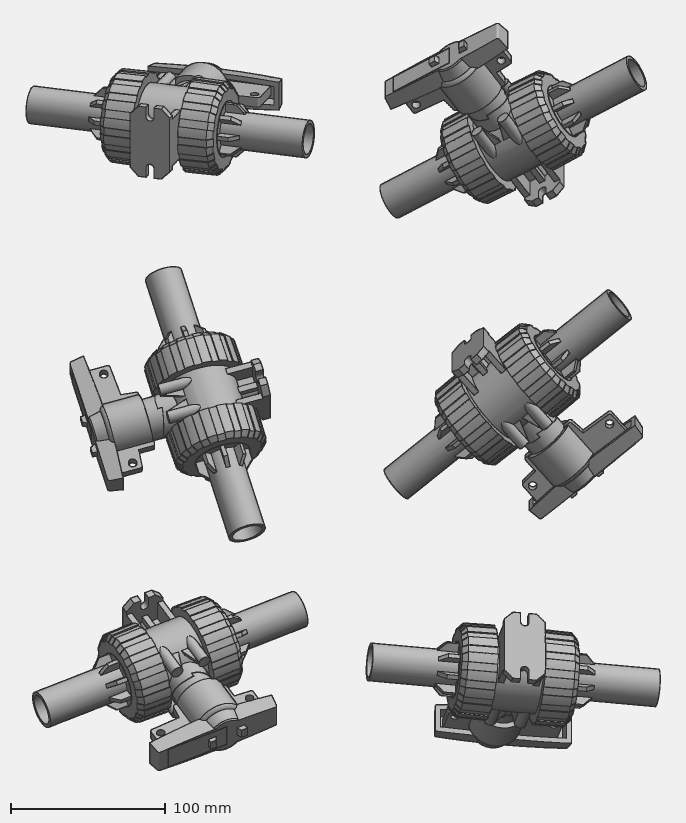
import cadquery as cq
import math


length = 189.0
pipe_radius = 12.3
bore_radius = 10.0

body_radius = 24.0
nut_inner_x = 15.7
nut_outer_x = 38.5
nut_chamfer_x = 35.2
nut_big_radius = 31.0
nut_small_radius = 30.6
nut_face_radius = 27.2
nut_mouth_radius = 18.5
nut_mouth_depth = 0.4
grip_slot_count = 16
grip_slot_width = 5.3
grip_slot_depth = 1.04

rib_count = 8
rib_radius = 18.0
rib_thickness = 2.8
rib_flat_end = 46.0
rib_end = 51.6

foot_y = -39.9
foot_thickness = 5.1
foot_half_x = 27.0 / 2
foot_half_z = 48.5 / 2
foot_chamfer = 5.7
foot_slot_width = 5.5
foot_slot_depth = 9.3
foot_wall_thickness = 4.0
foot_wall_half_z = 16.3
foot_rib_half = 4.0 / 2
foot_rib_half_z = 8.9
foot_web_half = 1.3
foot_boss_radius = 8.9 / 2

stem_radius = 14.0
stem_end_y = 51.2
collar_radius = 14.4
collar_low_y = 29.1
collar_high_y = 32.1
tooth_count = 4
ramp_start_angle = 22

pin_radius = 8.1 / 2
pin_x = 19.8 / 2
pin_z = 19.0
pin_end_y = 28.2
web_top_z = 20.0
web_thickness = 1.9
web_low_y = 13.0
web_high_y = 27.2
web_inner_x = 1.0

hub_radius = 17.5
hub_start_y = 40.3
hub_edge_y = 65.4
hub_round_y = 66.5
hub_round_radius = 17.0
cap_y = 76.7
cap_rim_y = 75.8
cap_base_y = 68.0
cap_base_radius = 15.1
cap_rim_radius = 13.5
cap_radius = 12.7

plate_half_z = 6.6 / 2
slit_half_z = 4.3
plate_left_x = -32.3
plate_right_x = 42.9
plate_skirt_y = 39.7
plate_skirt_left_x = -19.7
plate_skirt_right_x = 19.5
plate_skirt_top_x = 20.8
plate_step_y = 50.8
plate_wing_y = 52.0
plate_corner = 1.5
lock_hole_diameter = 5.5
lock_hole_y = 57.3
lock_hole_xs = (-27.4, 37.8)

grip_left_x = -38.7
grip_right_x = 51.5
grip_end_half_z = 9.8
grip_mid_half_z = 11.5
grip_root_x = 17.0
grip_end_fillet = 1.5
grip_low_y = 65.2
grip_end_low_y = 67.0
grip_draft = 7.5
grip_wall = 3.4
grip_roof = 1.9
strip_height = 0.4
strip_half_z = 8.3
tab_y = 80.1
tab_outer_x = 13.5
tab_inner_x = 9.3
tab_foot_x = 7.5


def box(x0, x1, y0, y1, z0, z1):
    return cq.Workplane("XY").box(x1 - x0, y1 - y0, z1 - z0, centered=False).translate((x0, y0, z0))


def cylinder_y(radius, y0, y1, x=0, z=0):
    """Cylinder along Y between two heights."""
    return cq.Workplane("XZ").center(x, z).circle(radius).extrude(y0 - y1).translate((0, y0, 0))


def plan_prism(points, half_z):
    """Outline in XY, extruded equally to both sides of Z = 0."""
    return cq.Workplane("XY").polyline(points).close().extrude(half_z, both=True)


def mirrored(shape, plane):
    return shape.union(shape.mirror(plane))


def union_nut():
    """Tapered nut on the +X side with evenly spaced grip slots."""
    profile = [
        (nut_inner_x, 0),
        (nut_inner_x, nut_big_radius),
        (nut_chamfer_x, nut_small_radius),
        (nut_outer_x, nut_face_radius),
        (nut_outer_x, 0),
    ]
    nut = cq.Workplane("XY").polyline(profile).close().revolve(360, (0, 0, 0), (1, 0, 0))
    floor = [(x, r - grip_slot_depth) for x, r in profile[1:4]]
    slot_top = nut_big_radius + grip_slot_depth
    slot = (
        cq.Workplane("XZ")
        .polyline(floor + [(nut_outer_x, slot_top), (nut_inner_x, slot_top)])
        .close()
        .extrude(grip_slot_width / 2, both=True)
    )
    for i in range(grip_slot_count):
        nut = nut.cut(slot.rotate((0, 0, 0), (1, 0, 0), i * 360 / grip_slot_count))
    mouth = cq.Workplane("YZ").circle(nut_mouth_radius).extrude(nut_mouth_depth)
    return nut.cut(mouth.translate((nut_outer_x - nut_mouth_depth, 0, 0)))


def pipe_ribs():
    """Radial ribs that taper down onto the +X pipe."""
    start = nut_outer_x - nut_mouth_depth
    rib = (
        cq.Workplane("XZ")
        .polyline([
            (start, 0),
            (start, rib_radius),
            (rib_flat_end, rib_radius),
            (rib_end, pipe_radius),
            (rib_end, 0),
        ])
        .close()
        .extrude(rib_thickness / 2, both=True)
    )
    ribs = rib
    for i in range(1, rib_count):
        ribs = ribs.union(rib.rotate((0, 0, 0), (1, 0, 0), i * 360 / rib_count))
    return ribs


def mounting_foot():
    plate_top = foot_y + foot_thickness
    foot = box(-foot_half_x, foot_half_x, foot_y, plate_top, -foot_half_z, foot_half_z)
    foot = foot.edges("|Y").chamfer(foot_chamfer)
    slot_radius = foot_slot_width / 2
    slot_centre = foot_half_z - foot_slot_depth + slot_radius
    slot = cylinder_y(slot_radius, foot_y, plate_top, z=slot_centre)
    slot = slot.union(box(-slot_radius, slot_radius, foot_y, plate_top, slot_centre, foot_half_z))
    foot = foot.cut(mirrored(slot, "XY"))

    wall_top = -body_radius / 2
    wall = box(foot_half_x - foot_wall_thickness, foot_half_x, plate_top, wall_top,
               -foot_wall_half_z, foot_wall_half_z)
    upright = box(-foot_rib_half, foot_rib_half, plate_top, wall_top, -foot_rib_half_z, foot_rib_half_z)
    cross = box(-foot_half_x, foot_half_x, plate_top, wall_top, -foot_web_half, foot_web_half)
    boss = cylinder_y(foot_boss_radius, plate_top, wall_top)
    return foot.union(mirrored(wall, "YZ")).union(upright).union(cross).union(boss)


def ratchet_collar():
    """Collar of four quarters, each with a ramp that drops around the stem."""
    half_sector = 180 / tooth_count
    corner = collar_radius * math.sin(math.radians(half_sector))
    ramp_start = collar_radius * math.sin(math.radians(ramp_start_angle))
    quarter = (
        cylinder_y(collar_radius, 0, collar_high_y)
        .intersect(box(0, collar_radius, 0, collar_high_y, 0, collar_radius))
        .rotate((0, 0, 0), (0, 1, 0), -half_sector)
    )
    ramp = (
        cq.Workplane("XY")
        .polyline([
            (-corner, 0),
            (-corner, collar_high_y),
            (-ramp_start, collar_high_y),
            (corner, collar_low_y),
            (corner, 0),
        ])
        .close()
        .extrude(collar_radius)
    )
    tooth = quarter.intersect(ramp)
    collar = tooth.rotate((0, 0, 0), (0, 1, 0), half_sector)
    for i in range(1, tooth_count):
        collar = collar.union(tooth.rotate((0, 0, 0), (0, 1, 0), half_sector * (2 * i + 1)))
    return collar


def stop_pins():
    """One pin and its triangular web, repeated in all four quadrants."""
    pin = cylinder_y(pin_radius, 0, pin_end_y, pin_x, pin_z)
    web = (
        cq.Workplane("XY", origin=(0, 0, web_top_z - web_thickness))
        .polyline([
            (web_inner_x, web_low_y),
            (pin_x, web_low_y),
            (pin_x, web_high_y),
            (pin_x - pin_radius, web_high_y),
        ])
        .close()
        .extrude(web_thickness)
    )
    return mirrored(mirrored(pin.union(web), "YZ"), "XY")


def handle_hub():
    """Barrel and conical cap around the stem, slit on both sides of the plate."""
    hub = (
        cq.Workplane("XY")
        .moveTo(0, hub_start_y)
        .lineTo(hub_radius, hub_start_y)
        .lineTo(hub_radius, hub_edge_y)
        .threePointArc((hub_round_radius, hub_round_y), (cap_base_radius, cap_base_y))
        .lineTo(cap_rim_radius, cap_rim_y)
        .lineTo(cap_radius, cap_y)
        .lineTo(0, cap_y)
        .close()
        .revolve(360, (0, 0, 0), (0, 1, 0))
    )
    slit = box(-hub_radius, hub_radius, hub_start_y, cap_base_y, -slit_half_z, slit_half_z)
    return hub.cut(slit)


def handle_plate():
    outline = [
        (plate_left_x, cap_y),
        (plate_left_x, plate_wing_y),
        (plate_skirt_left_x, plate_step_y),
        (plate_skirt_left_x, plate_skirt_y),
        (plate_skirt_right_x, plate_skirt_y),
        (plate_skirt_top_x, plate_step_y),
        (plate_right_x, plate_wing_y),
        (plate_right_x, cap_y),
    ]
    plate = plan_prism(outline, plate_half_z)
    plate = plate.edges("|Z").edges("<Y or ((<X or >X) and (not >Y))").fillet(plate_corner)
    for x in lock_hole_xs:
        hole = cq.Workplane("XY").center(x, lock_hole_y).circle(lock_hole_diameter / 2)
        plate = plate.cut(hole.extrude(plate_half_z, both=True))
    return plate


def grip_block(inset, top_y):
    """Drafted bar with bowed sides, widest half way along, shrunk all round by the inset."""
    end = grip_end_half_z - inset
    mid = grip_mid_half_z - inset
    left = grip_left_x + inset
    right = grip_right_x - inset
    middle = (left + right) / 2
    return (
        cq.Workplane("XZ", origin=(0, grip_low_y, 0))
        .moveTo(left, -end)
        .threePointArc((middle, -mid), (right, -end))
        .lineTo(right, end)
        .threePointArc((middle, mid), (left, end))
        .close()
        .extrude(grip_low_y - top_y, taper=grip_draft)
    )


def handle_grip():
    grip = grip_block(0, cap_y)
    grip = grip.faces(">Y").edges("<X or >X").fillet(grip_end_fillet)
    grip = grip.cut(grip_block(grip_wall, cap_y - grip_roof))
    for tip, root in (
        (grip_left_x, -grip_root_x),
        (grip_right_x, grip_root_x),
    ):
        wedge = [(root, grip_low_y), (tip, grip_low_y), (tip, grip_end_low_y)]
        grip = grip.cut(plan_prism(wedge, grip_mid_half_z))
    strip = box(0, plate_right_x, cap_y, cap_y + strip_height, -strip_half_z, strip_half_z)
    tab = plan_prism(
        [(tab_foot_x, cap_y), (tab_inner_x, tab_y), (tab_outer_x, tab_y), (tab_outer_x, cap_y)],
        plate_half_z,
    )
    return grip.union(strip).union(mirrored(tab, "YZ"))


body = cq.Workplane("YZ").circle(body_radius).extrude(nut_outer_x - nut_mouth_depth, both=True)
pipe = cq.Workplane("YZ").circle(pipe_radius).extrude(length / 2, both=True)
stem = cylinder_y(stem_radius, 0, stem_end_y)
bore = cq.Workplane("YZ").circle(bore_radius).extrude(length / 2, both=True)

result = body.union(pipe)
result = result.union(mirrored(union_nut(), "YZ"))
result = result.union(mirrored(pipe_ribs(), "YZ"))
result = result.union(mounting_foot())
result = result.union(ratchet_collar())
result = result.union(stop_pins())
result = result.union(handle_hub())
result = result.union(stem)
result = result.union(handle_plate())
result = result.union(handle_grip())
result = result.cut(bore)